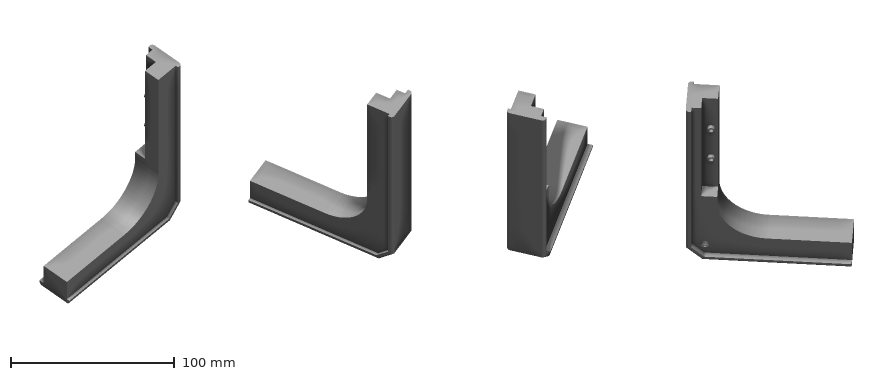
import cadquery as cq

width = 24.6
depth = 101.6
height = 137.6

upright_thickness = 19.1
foot_thickness = 19.4
inner_radius = 30.1
corner_cut = 10.0

lip_thickness = 3.5
left_lip = 3.5
right_lip = 1.9
lip_round = 2.0

pocket_depth = 8.3
pocket_inset = 9.4
pocket_floor_z = 55.7

peg_diameter = 4.5
peg_bore = 2.8
peg_length = 2.5
peg_from_inner_face = 4.1
peg_pitch = 27.1

corner_hole_diameter = 4.5
corner_step_diameter = 5.5
corner_step_depth = 0.7
corner_hole_inset = 11.4
corner_hole_depth = 8.3

left_x = -width / 2
right_x = width / 2
body_left_x = left_x + left_lip
body_right_x = right_x - right_lip
pocket_wall_x = body_left_x + pocket_depth
inner_y = depth - upright_thickness


def side_plane(x):
    """YZ plane at the given X, with its normal along +X."""
    return cq.Workplane("YZ", origin=(x, 0, 0))


def make_blank():
    """L-shaped blank with a cut outer corner and a rounded inner corner."""
    arc_center = (inner_y - inner_radius, foot_thickness + inner_radius)
    half_chord = inner_radius * 0.5 ** 0.5
    arc_middle = (arc_center[0] + half_chord, arc_center[1] - half_chord)
    return (
        side_plane(left_x)
        .moveTo(0, 0)
        .lineTo(depth - corner_cut, 0)
        .lineTo(depth, corner_cut)
        .lineTo(depth, height)
        .lineTo(inner_y, height)
        .lineTo(inner_y, arc_center[1])
        .threePointArc(arc_middle, (arc_center[0], foot_thickness))
        .lineTo(0, foot_thickness)
        .close()
        .extrude(width)
    )


def round_outer_edges(blank):
    """Round the long outer edges on both sides of the blank."""
    edge_middles = (
        ((depth - corner_cut) / 2, 0),
        (depth - corner_cut / 2, corner_cut / 2),
        (depth, (height + corner_cut) / 2),
    )
    outer_edges = []
    for x in (left_x, right_x):
        for y, z in edge_middles:
            nearest = cq.selectors.NearestToPointSelector((x, y, z))
            outer_edges.append(blank.edges(nearest).val())
    return blank.newObject(outer_edges).fillet(lip_round)


def make_side_recess(x, recess_depth):
    """Volume beside the body, inside the lip, starting at the given X."""
    inset_corner = corner_cut + lip_thickness * (2 ** 0.5 - 1)
    return (
        side_plane(x)
        .moveTo(0, lip_thickness)
        .lineTo(depth - inset_corner, lip_thickness)
        .lineTo(depth - lip_thickness, inset_corner)
        .lineTo(depth - lip_thickness, height)
        .lineTo(0, height)
        .close()
        .extrude(recess_depth)
    )


def make_pocket():
    pocket_width = upright_thickness - pocket_inset
    pocket_height = height - pocket_floor_z
    pocket = cq.Workplane("XY").box(pocket_depth, pocket_width, pocket_height, centered=False)
    return pocket.translate((body_left_x, inner_y, pocket_floor_z))


def make_pegs():
    """Two tubes standing on the pocket wall, spaced down from the top."""
    centers = [(inner_y + peg_from_inner_face, height - n * peg_pitch) for n in (1, 2)]
    return (
        side_plane(pocket_wall_x)
        .pushPoints(centers)
        .circle(peg_diameter / 2)
        .circle(peg_bore / 2)
        .extrude(-peg_length)
    )


def make_corner_hole():
    center = side_plane(body_left_x).center(depth - corner_hole_inset, corner_hole_inset)
    hole = center.circle(corner_hole_diameter / 2).extrude(corner_hole_depth)
    step = center.circle(corner_step_diameter / 2).extrude(corner_step_depth)
    return hole.union(step)


result = (
    round_outer_edges(make_blank())
    .cut(make_side_recess(left_x, left_lip))
    .cut(make_side_recess(body_right_x, right_lip))
    .cut(make_pocket())
    .union(make_pegs())
    .cut(make_corner_hole())
)